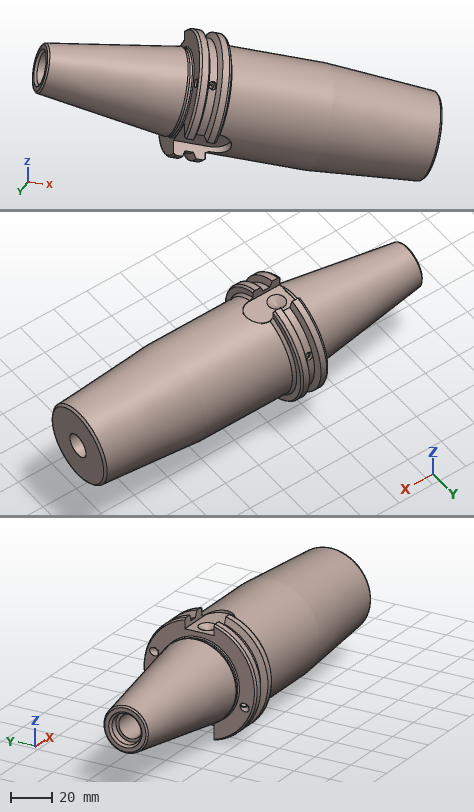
import cadquery as cq
import math

total_length = 198.2

taper_ratio = 7 / 24
gauge_x = 68.0
gauge_radius = 22.2
tip_radius = gauge_radius - gauge_x * taper_ratio / 2
tip_chamfer = 0.8
relief_radius = 21.8
relief_x = 69.2
relief_root_chamfer = 0.5

flange_x = 71.0
flange_end_x = 87.2
flange_radius = 63.2 / 2
flange_chamfer_length = 1.2
flange_chamfer_height = 0.8
groove_x = 79.1
groove_half_width = 7.0 / 2
groove_floor_half_width = 2.0
groove_floor_radius = 56.7 / 2

body_radius = 53.0 / 2
body_x = 89.0
body_root_radius = 27.5
nose_x = 141.0
nose_radius = 22.2
nose_chamfer = 1.2

bore_diameter = 13.0
pilot_diameter = 16.3
pilot_depth = 5.0
pilot_mouth_diameter = 18.6

slot_width = 16.3
slot_end_x = 97.3
upper_slot_floor = 25.0
lower_slot_floor = 22.5
dimple_diameter = 9.5
dimple_x = 79.0
drill_point_angle = 118.0

coolant_angle = 20.0
face_hole_radius = 27.0
face_hole_tilt = 35.0
face_hole_diameter = 4.2
face_hole_depth = 3.2
face_drill_diameter = 3.2
face_drill_depth = 6.0
groove_hole_diameter = 4.0
groove_hole_depth = 2.0
groove_drill_diameter = 2.4
groove_drill_depth = 5.0
entry_overlap = 2.0


def revolve_profile(points):
    """Revolve (x, radius) points about the X axis."""
    return cq.Workplane("XY").polyline(points).close().revolve(360, (0, 0, 0), (1, 0, 0))


def make_body():
    return revolve_profile([
        (0, 0),
        (0, tip_radius - tip_chamfer),
        (tip_chamfer, tip_radius + tip_chamfer * taper_ratio / 2),
        (gauge_x, gauge_radius),
        (relief_x, relief_radius),
        (flange_x - relief_root_chamfer, relief_radius),
        (flange_x, relief_radius + relief_root_chamfer),
        (flange_x, flange_radius - flange_chamfer_height),
        (flange_x + flange_chamfer_length, flange_radius),
        (groove_x - groove_half_width, flange_radius),
        (groove_x - groove_floor_half_width, groove_floor_radius),
        (groove_x + groove_floor_half_width, groove_floor_radius),
        (groove_x + groove_half_width, flange_radius),
        (flange_end_x - flange_chamfer_length, flange_radius),
        (flange_end_x, flange_radius - flange_chamfer_height),
        (flange_end_x, body_root_radius),
        (body_x, body_radius),
        (nose_x, body_radius),
        (total_length - nose_chamfer, nose_radius),
        (total_length, nose_radius - nose_chamfer),
        (total_length, 0),
    ])


def make_bore():
    bore_radius = bore_diameter / 2
    pilot_radius = pilot_diameter / 2
    mouth_radius = pilot_mouth_diameter / 2
    return revolve_profile([
        (0, 0),
        (0, mouth_radius),
        (mouth_radius - pilot_radius, pilot_radius),
        (pilot_depth, pilot_radius),
        (pilot_depth, bore_radius),
        (total_length, bore_radius),
        (total_length, 0),
    ])


def make_slot(floor, side):
    """Round-ended slot outside height floor; side is +1 for the top, -1 for the bottom."""
    end_center_x = slot_end_x - slot_width / 2
    depth = side * (flange_radius - floor + entry_overlap)
    plane = cq.Workplane("XY").workplane(offset=side * floor)
    straight = (
        plane.center((flange_x + end_center_x) / 2, 0)
        .rect(end_center_x - flange_x, slot_width)
        .extrude(depth)
    )
    round_end = plane.center(end_center_x, 0).circle(slot_width / 2).extrude(depth)
    return straight.union(round_end)


def make_dimple():
    depth = dimple_diameter / 2 / math.tan(math.radians(drill_point_angle / 2))
    return cq.Workplane(cq.Solid.makeCone(
        0, dimple_diameter / 2, depth,
        pnt=cq.Vector(dimple_x, 0, upper_slot_floor - depth),
    ))


def make_stepped_hole(entry, direction, diameter, depth, drill_diameter, drill_depth):
    """Blind stepped hole from entry along direction; both depths start at entry."""
    start = entry - direction * entry_overlap
    wide = cq.Solid.makeCylinder(diameter / 2, depth + entry_overlap, start, direction)
    narrow = cq.Solid.makeCylinder(drill_diameter / 2, drill_depth + entry_overlap, start, direction)
    return cq.Workplane(wide).union(cq.Workplane(narrow))


def make_coolant_holes():
    """One tilted face hole and one radial groove hole on the +Y side."""
    tilt = math.radians(face_hole_tilt)
    face_hole = make_stepped_hole(
        cq.Vector(flange_x, face_hole_radius, 0),
        cq.Vector(math.cos(tilt), -math.sin(tilt), 0),
        face_hole_diameter, face_hole_depth, face_drill_diameter, face_drill_depth,
    )
    groove_hole = make_stepped_hole(
        cq.Vector(groove_x, groove_floor_radius, 0),
        cq.Vector(0, -1, 0),
        groove_hole_diameter, groove_hole_depth, groove_drill_diameter, groove_drill_depth,
    )
    return face_hole.union(groove_hole)


result = make_body().cut(make_bore())
result = result.cut(make_slot(upper_slot_floor, 1))
result = result.cut(make_slot(lower_slot_floor, -1))
result = result.cut(make_dimple())

coolant_holes = make_coolant_holes()
for turn in (coolant_angle, coolant_angle + 180):
    result = result.cut(coolant_holes.rotate((0, 0, 0), (1, 0, 0), turn))